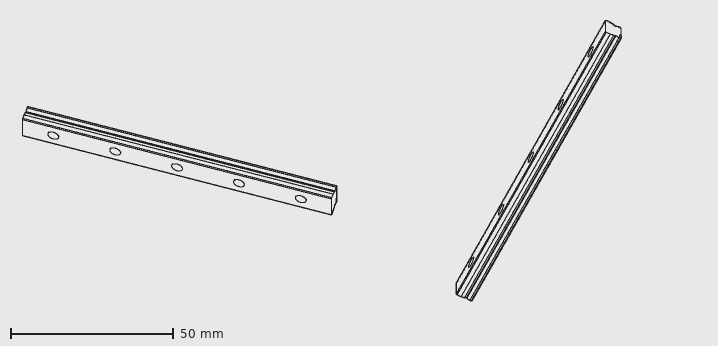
import cadquery as cq

length = 100.0
depth = 5.5
height = 9.0
pad_thickness = 0.1
bar_length = length - pad_thickness

front_chamfer = 0.3
front_land_end = 1.7
shoulder_y = 2.3
shoulder_drop = 0.3
groove_start_y = 2.9
groove_start_drop = 0.4
groove_floor_start_y = 3.5
groove_floor_end_y = 3.7
groove_drop = 0.9
groove_end_y = 4.7
back_drop = 0.3
back_chamfer = 0.3

hole_diameter = 3.5
hole_count = 5
hole_pitch = 20.0
first_hole_x = 10.0

pad_width = 0.6
pad_height = 1.9
pad_bottom = 0.7


def rail():
    """Bar with a narrow-floored V groove along its top and bottom sides."""
    flank = [
        (0, front_chamfer),
        (front_chamfer, 0),
        (front_land_end, 0),
        (shoulder_y, shoulder_drop),
        (groove_start_y, groove_start_drop),
        (groove_floor_start_y, groove_drop),
        (groove_floor_end_y, groove_drop),
        (groove_end_y, back_drop),
        (depth - back_chamfer, back_drop),
        (depth, back_drop + back_chamfer),
    ]
    top = [(y, height - drop) for y, drop in flank]
    bottom = [(y, drop) for y, drop in reversed(flank)]
    return cq.Workplane("YZ").polyline(top + bottom).close().extrude(bar_length)


def mounting_holes():
    """Row of round holes at mid height."""
    centers = [(first_hole_x + i * hole_pitch, height / 2) for i in range(hole_count)]
    return cq.Workplane("XZ").pushPoints(centers).circle(hole_diameter / 2).extrude(-depth)


def end_pad():
    """Thin pad at the lower back corner of the end face, flush with the back."""
    pad = cq.Workplane("XY").box(pad_thickness, pad_width, pad_height, centered=False)
    return pad.translate((bar_length, depth - pad_width, pad_bottom))


result = rail().cut(mounting_holes()).union(end_pad())